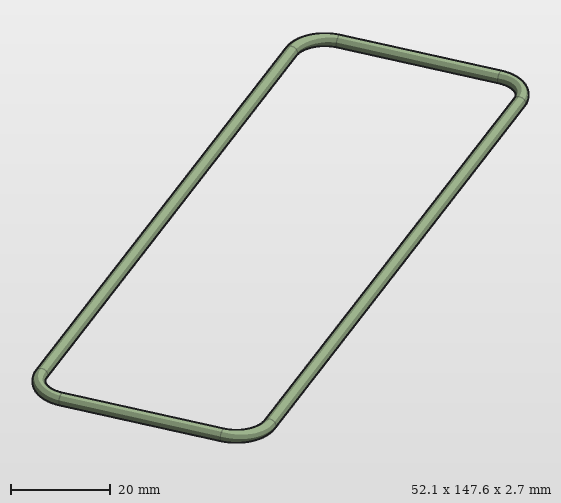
import cadquery as cq

outer_width = 52.1
outer_length = 147.6
wire_diameter = 2.7
outer_corner_radius = 8.5

wire_radius = wire_diameter / 2
bend_radius = outer_corner_radius - wire_radius
side_x = outer_width / 2 - wire_radius
end_y = outer_length / 2 - wire_radius
straight_end_x = side_x - bend_radius
straight_end_y = end_y - bend_radius

centreline = (
    cq.Workplane("XY")
    .moveTo(side_x, -straight_end_y)
    .lineTo(side_x, straight_end_y)
    .radiusArc((straight_end_x, end_y), -bend_radius)
    .lineTo(-straight_end_x, end_y)
    .radiusArc((-side_x, straight_end_y), -bend_radius)
    .lineTo(-side_x, -straight_end_y)
    .radiusArc((-straight_end_x, -end_y), -bend_radius)
    .lineTo(straight_end_x, -end_y)
    .radiusArc((side_x, -straight_end_y), -bend_radius)
    .close()
)

section = cq.Workplane("XZ", origin=(side_x, -straight_end_y, 0)).circle(wire_radius)
result = section.sweep(centreline)